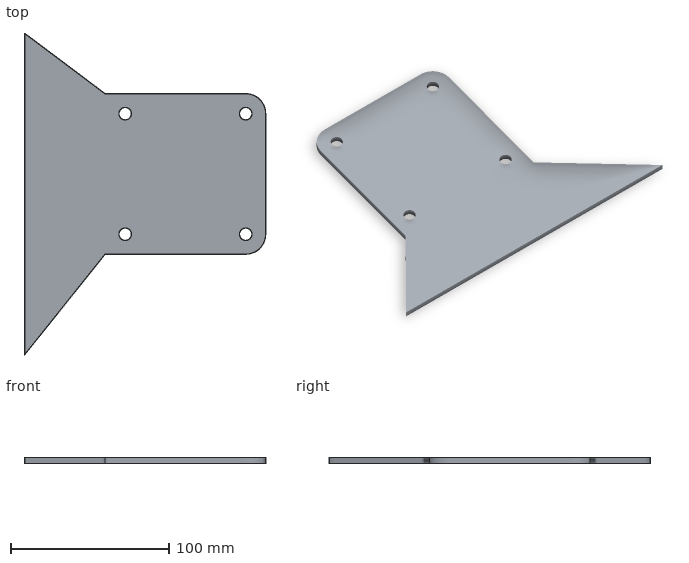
import cadquery as cq

blade_length = 203.2
plate_length = 152.5
thickness = 3.9

body_width = 101.5
flare_depth = 50.8
corner_radius = body_width / 8
body_offset = corner_radius

hole_diameter = 7.7
hole_inset = corner_radius

body_length = plate_length - flare_depth
body_front = body_offset - body_width / 2
body_back = body_offset + body_width / 2
body_center = (flare_depth + body_length / 2, body_offset)


def make_plate():
    """Flat plate: straight blade edge at X = 0, tapering into the body."""
    outline = [
        (0, -blade_length / 2),
        (flare_depth, body_front),
        (plate_length, body_front),
        (plate_length, body_back),
        (flare_depth, body_back),
        (0, blade_length / 2),
    ]
    plate = cq.Workplane("XY").polyline(outline).close().extrude(thickness)
    return plate.edges("|Z and >X").fillet(corner_radius)


def make_holes():
    """Rectangular pattern of four through holes in the body."""
    return (
        cq.Workplane("XY")
        .center(*body_center)
        .rect(body_length - 2 * hole_inset, body_width - 2 * hole_inset, forConstruction=True)
        .vertices()
        .circle(hole_diameter / 2)
        .extrude(thickness)
    )


result = make_plate().cut(make_holes())